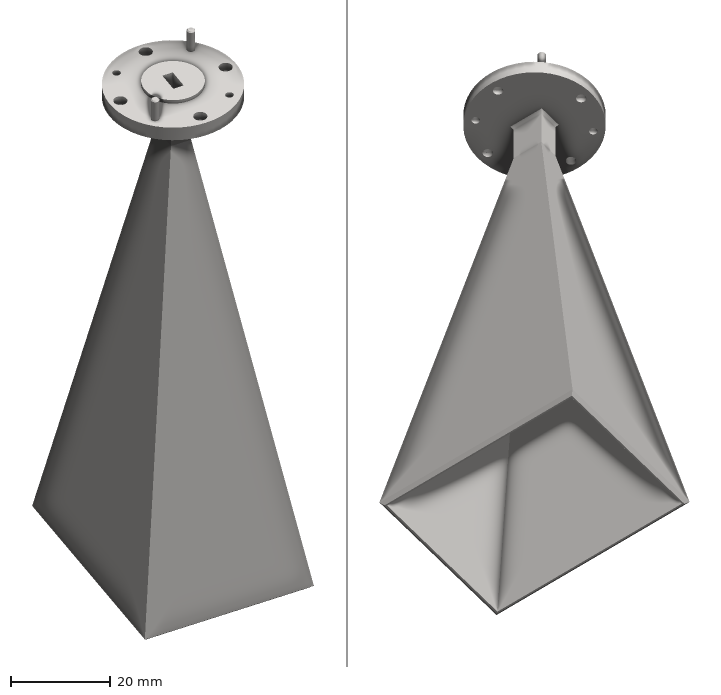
import cadquery as cq

total_height = 123.5
pin_height = 5.1
flange_thickness = 3.2
boss_height = 0.9
tube_length = 9.4
flange_top = total_height - pin_height
flange_bottom = flange_top - flange_thickness
throat_z = flange_bottom - tube_length

bore_x = 4.8
bore_y = 2.3
wall = 1.1
tube_x = bore_x + 2 * wall
tube_y = bore_y + 2 * wall

mouth_x = 49.3
mouth_y = 38.3
rim_height = 0.7
rim_inset = 0.7

collar_height = 0.9
collar_flare = 0.5

flange_diameter = 28.7
boss_diameter = 12.8
bolt_circle_diameter = 23.8
bolt_hole_diameter = 2.1
counterbore_diameter = 2.8
counterbore_depth = 2.0
pin_diameter = 1.7
pin_chamfer = 0.2
bolt_count = 4
first_bolt_angle = 0
first_pin_angle = 135
pin_count = 2
first_pin_hole_angle = 45


def frustum(z_low, size_low, z_high, size_high):
    """Centred rectangular frustum between two heights."""
    return (
        cq.Workplane("XY", origin=(0, 0, z_low))
        .rect(*size_low)
        .workplane(offset=z_high - z_low)
        .rect(*size_high)
        .loft(ruled=True)
    )


def disc(z_low, diameter, height):
    return cq.Workplane("XY", origin=(0, 0, z_low)).circle(diameter / 2).extrude(height)


def circle_of_posts(diameter, z_low, height, first_angle, count):
    """Equally spaced cylinders on the bolt circle."""
    return (
        cq.Workplane("XY", origin=(0, 0, z_low))
        .polarArray(bolt_circle_diameter / 2, first_angle, 360, count)
        .circle(diameter / 2)
        .extrude(height)
    )


tube_size = (tube_x, tube_y)
mouth_size = (mouth_x, mouth_y)
rim_size = (mouth_x - 2 * rim_inset, mouth_y - 2 * rim_inset)
collar_size = (tube_x + 2 * collar_flare, tube_y + 2 * collar_flare)

rim = frustum(0, rim_size, rim_height, mouth_size)
horn = frustum(rim_height, mouth_size, throat_z, tube_size)
tube = frustum(throat_z, tube_size, flange_bottom, tube_size)
collar = frustum(flange_bottom - collar_height, tube_size, flange_bottom, collar_size)

flange = disc(flange_bottom, flange_diameter, flange_thickness)
boss = disc(flange_top, boss_diameter, boss_height)
bolt_holes = circle_of_posts(
    bolt_hole_diameter, flange_bottom, flange_thickness, first_bolt_angle, bolt_count
)
counterbores = circle_of_posts(
    counterbore_diameter,
    flange_top - counterbore_depth,
    counterbore_depth,
    first_bolt_angle,
    bolt_count,
)
pin_holes = circle_of_posts(
    pin_diameter, flange_bottom, flange_thickness, first_pin_hole_angle, pin_count
)
pins = circle_of_posts(
    pin_diameter, flange_bottom, total_height - flange_bottom, first_pin_angle, pin_count
)
pins = pins.faces(">Z").chamfer(pin_chamfer)
flange = flange.union(boss).cut(bolt_holes).cut(counterbores).cut(pin_holes).union(pins)

bore_size = (bore_x, bore_y)
cavity_size = (mouth_x - 2 * wall, mouth_y - 2 * wall)
cavity = frustum(0, cavity_size, throat_z, bore_size)
bore = frustum(throat_z, bore_size, flange_top + boss_height, bore_size)

result = rim.union(horn).union(tube).union(collar).union(flange).cut(cavity).cut(bore)